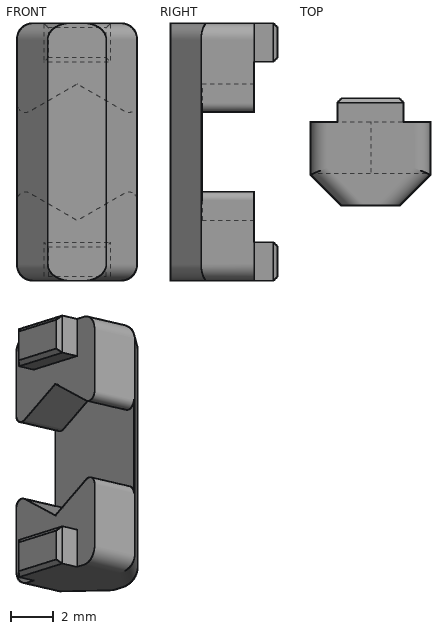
import cadquery as cq
import math

width = 5.6
height = 12
total_depth = 5.0
body_depth = 3.9
front_bevel = 1.44
end_round = 0.75

tab_width = 3.1
tab_height = 1.8
tab_chamfer = 0.2

nut_across_flats = 5.51
pocket_floor = 1.5
lip_round = 0.4

half_width = width / 2
half_height = height / 2
front_y = -total_depth / 2
back_y = front_y + body_depth
tab_depth = total_depth - body_depth
margin = 0.12
nut_corner_radius = nut_across_flats / math.sqrt(3)
mouth_half_height = nut_corner_radius - half_width * math.tan(math.radians(30))


def make_body():
    """Prism with 45 degree front bevels and rounded side and bevel end edges."""
    front_half_width = half_width - front_bevel
    bevel_y = front_y + front_bevel
    body = (
        cq.Workplane("XY", origin=(0, 0, -half_height))
        .polyline([
            (-front_half_width, front_y),
            (front_half_width, front_y),
            (half_width, bevel_y),
            (half_width, back_y),
            (-half_width, back_y),
            (-half_width, bevel_y),
        ])
        .close()
        .extrude(height)
    )
    return body.faces("<Z or >Z").edges("not |X").fillet(end_round)


def cut_nut_pocket(body):
    """Hexagonal pocket with corners pointing up and down, cut through the sides."""
    outer_x = half_width + margin
    outer_z = nut_corner_radius - outer_x * math.tan(math.radians(30))
    pocket = (
        cq.Workplane("XZ", origin=(0, back_y, 0))
        .polyline([
            (0, nut_corner_radius),
            (outer_x, outer_z),
            (outer_x, -outer_z),
            (0, -nut_corner_radius),
            (-outer_x, -outer_z),
            (-outer_x, outer_z),
        ])
        .close()
        .extrude(body_depth - pocket_floor)
    )
    lips = cq.selectors.BoxSelector(
        (-width, front_y, -mouth_half_height - margin),
        (width, back_y, mouth_half_height + margin),
    )
    return body.cut(pocket).edges("|Y").edges(lips).fillet(lip_round)


def make_tab(end):
    """Tab flush with the upper (end = 1) or lower (end = -1) end of the body."""
    center_z = end * (half_height - tab_height / 2)
    return (
        cq.Workplane("XZ", origin=(0, back_y, center_z))
        .rect(tab_width, tab_height)
        .extrude(-tab_depth)
        .faces(">Y")
        .chamfer(tab_chamfer)
    )


result = cut_nut_pocket(make_body())
for end in (-1, 1):
    result = result.union(make_tab(end))